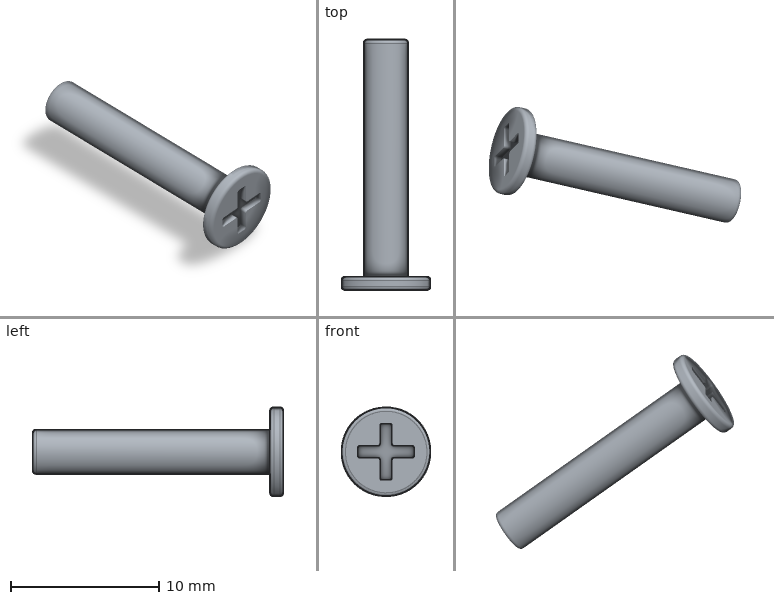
import cadquery as cq

head_diameter = 6.0
head_thickness = 0.9
head_edge_radius = 0.25
shank_diameter = 3.0
shank_length = 16.0
tip_edge_radius = 0.25

recess_span = 3.8
recess_arm_width = 0.8
recess_depth = 0.5
recess_corner_radius = 0.15

total_length = head_thickness + shank_length


def cylinder_along_y(diameter, length):
    return cq.Workplane("XZ").circle(diameter / 2).extrude(-length)


def make_head():
    return cylinder_along_y(head_diameter, head_thickness).edges().fillet(head_edge_radius)


def make_shank():
    shank = cylinder_along_y(shank_diameter, total_length)
    return shank.faces(">Y").edges().fillet(tip_edge_radius)


def make_cross_recess():
    def arm(x_size, z_size):
        return cq.Workplane("XZ").rect(x_size, z_size).extrude(-recess_depth)

    cross = arm(recess_span, recess_arm_width).union(arm(recess_arm_width, recess_span))
    return cross.edges("|Y").fillet(recess_corner_radius)


result = make_head().union(make_shank()).cut(make_cross_recess())